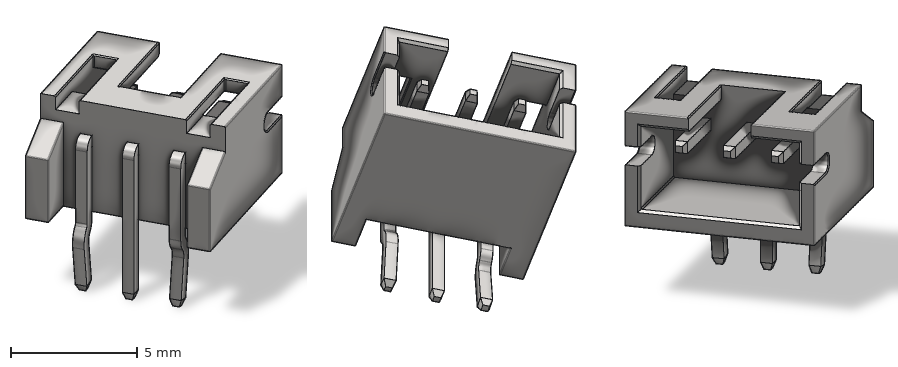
import cadquery as cq
import math


width = 7.9
height = 4.8
depth = 6.0
edge_radius = 0.05

arm_width = 1.0
arm_length = 1.6
arm_top_rear = -1.1
arm_top_tip = -2.02

wall = 0.655
roof = 0.6
floor = 0.74
rear_wall = 1.74
mouth_break = 0.115
cavity_corner_break = 0.06

opening_break = 0.05
roof_notch_width = 2.6
slot_width = 1.0
slot_outer_x = width / 2 - wall
slot_end_y = 3.98
side_notch_height = 0.79
side_notch_length = 1.89
side_notch_z = -1.84

pin_size = 0.5
pin_pitch = 2.0
pin_positions = (-pin_pitch, 0, pin_pitch)
pin_axis_z = -1.7
contact_shoulder_y = 4.73
leg_end_z = -8.18
tip_length = 0.32
tip_end_size = 0.28
tip_taper = math.degrees(math.atan((pin_size - tip_end_size) / 2 / tip_length))

kink_start_z = -5.14
kink_center_y = 0.17
kink_center_z = -5.955
kink_outer_radius = 2 * pin_size
kink_inner_radius = pin_size
kink_slope = math.radians(9)
kink_slant_length = 1.775


def block(x0, x1, y0, y1, z0, z1):
    """Box between two opposite corners."""
    size = (x1 - x0, y1 - y0, z1 - z0)
    return cq.Workplane("XY").box(*size, centered=False).translate((x0, y0, z0))


def make_shell():
    """Outer block with its two rear arms, all edges rounded except those in the rear face."""
    side_outline = [
        (depth, 0),
        (0, 0),
        (0, arm_top_rear),
        (-arm_length, arm_top_tip),
        (-arm_length, -height),
        (depth, -height),
    ]
    shell = cq.Workplane("YZ").polyline(side_outline).close().extrude(width / 2, both=True)
    arm_inner_x = width / 2 - arm_width
    shell = shell.cut(block(-arm_inner_x, arm_inner_x, -arm_length, 0, -height, 0))
    return shell.edges().filter(lambda edge: abs(edge.Center().y) > edge_radius).fillet(edge_radius)


def make_cavity():
    """Mating cavity with broken floor corners that widens slightly at the mouth."""
    half = width / 2 - wall
    cavity = block(-half, half, rear_wall, depth, floor - height, -roof)
    cavity = cavity.edges("|Y and <Z").chamfer(cavity_corner_break)
    rim = (
        cq.Workplane("XZ", origin=(0, depth, (floor - height - roof) / 2))
        .rect(2 * (half + mouth_break), height - roof - floor + 2 * mouth_break)
        .extrude(2 * mouth_break, taper=45)
    )
    return cavity.union(rim)


def make_roof_notch():
    """Notch through the roof, open toward the mouth, with broken side edges on top."""
    half = roof_notch_width / 2
    notch = block(-half, half, rear_wall, depth, -roof, 0)
    lip_outline = [
        (-half - opening_break, 0),
        (half + opening_break, 0),
        (half, -opening_break),
        (-half, -opening_break),
    ]
    lip = cq.Workplane("XZ", origin=(0, depth, 0)).polyline(lip_outline).close().extrude(depth - rear_wall)
    return notch.union(lip)


def make_roof_slot():
    """Slot in the left half of the roof, open toward the rear and flush with the cavity side wall."""
    slot_inner_x = slot_outer_x - slot_width
    slot = block(-slot_outer_x, -slot_inner_x, 0, slot_end_y, -roof, 0)
    slot = slot.edges("|Z and >Y").chamfer(opening_break)

    def flare(z, direction):
        """Broken rim that starts at height z and narrows to the slot outline."""
        return (
            cq.Workplane("XY", origin=(-(slot_outer_x + slot_inner_x) / 2, 0, z))
            .rect(slot_width + 2 * opening_break, 2 * (slot_end_y + opening_break))
            .extrude(direction * opening_break, taper=45)
        )

    housing_region = block(-width, width, 0, depth, -height, 0)
    ceiling_region = block(-slot_outer_x, 0, rear_wall, depth, -height, 0)
    top_rim = flare(0, -1).intersect(housing_region)
    bottom_rim = flare(-roof, 1).intersect(ceiling_region)
    return slot.union(top_rim).union(bottom_rim)


def make_side_notch():
    """Round-ended notch through the left side wall, open toward the mouth, with a broken outer edge."""
    outer_x = -width / 2
    radius = side_notch_height / 2
    center_y = depth - side_notch_length + radius

    def outline(extra):
        reach = radius + extra
        return (
            cq.Workplane("YZ", origin=(outer_x, 0, side_notch_z))
            .moveTo(depth + radius, reach)
            .lineTo(center_y, reach)
            .threePointArc((center_y - reach, 0), (center_y, -reach))
            .lineTo(depth + radius, -reach)
            .close()
        )

    notch = outline(0).extrude(wall + mouth_break)
    return notch.union(outline(opening_break).extrude(opening_break, taper=45))


def make_housing():
    housing = make_shell().cut(make_cavity()).cut(make_roof_notch())
    for opening in (make_roof_slot(), make_side_notch()):
        housing = housing.cut(opening).cut(opening.mirror("YZ"))
    half = pin_size / 2
    for x in pin_positions:
        housing = housing.cut(block(x - half, x + half, 0, rear_wall, pin_axis_z - half, pin_axis_z + half))
    return housing


def make_contact(x):
    """Straight contact from the rear face through the rear wall to its tapered tip."""
    half = pin_size / 2
    bar = block(x - half, x + half, 0, contact_shoulder_y, pin_axis_z - half, pin_axis_z + half)
    tip = (
        cq.Workplane("XZ", origin=(x, contact_shoulder_y, pin_axis_z))
        .rect(pin_size, pin_size)
        .extrude(-tip_length, taper=tip_taper)
    )
    return bar.union(tip)


def make_leg_head(x):
    """Quarter-round top of a leg, standing against the rear face behind the contact."""
    half = pin_size / 2
    corner = block(x - half, x + half, -pin_size, 0, pin_axis_z - half, pin_axis_z + half)
    round_bar = cq.Workplane("YZ", origin=(x, 0, pin_axis_z - half)).circle(pin_size).extrude(half, both=True)
    return corner.intersect(round_bar)


def make_straight_leg(x):
    half = pin_size / 2
    shoulder_z = leg_end_z + tip_length
    shank = block(x - half, x + half, -pin_size, 0, shoulder_z, pin_axis_z - half)
    tip = (
        cq.Workplane("XY", origin=(x, -half, shoulder_z))
        .rect(pin_size, pin_size)
        .extrude(-tip_length, taper=tip_taper)
    )
    return make_leg_head(x).union(shank).union(tip)


def make_bowed_shank(x):
    """Shank that bows toward -Y, slants back and ends in a tapered tip."""
    along = (math.sin(kink_slope), -math.cos(kink_slope))

    def arc_point(radius, angle):
        return (kink_center_y - radius * math.cos(angle), kink_center_z + radius * math.sin(angle))

    def slant_end(radius):
        start_y, start_z = arc_point(radius, -kink_slope)
        return (start_y + kink_slant_length * along[0], start_z + kink_slant_length * along[1])

    rise = kink_start_z - kink_center_z
    inner_offset = kink_inner_radius - kink_center_y
    lead_radius = (kink_center_y**2 + rise**2 - kink_inner_radius**2) / (2 * inner_offset)
    lead_angle = math.atan2(rise, kink_center_y + lead_radius)

    def lead_middle(radius):
        return (
            radius * math.cos(lead_angle / 2) - lead_radius,
            kink_start_z - radius * math.sin(lead_angle / 2),
        )

    bow_middle = (lead_angle - kink_slope) / 2

    shank = (
        cq.Workplane("YZ", origin=(x, 0, 0))
        .moveTo(0, pin_axis_z - pin_size / 2)
        .lineTo(0, kink_start_z)
        .threePointArc(lead_middle(lead_radius), arc_point(kink_inner_radius, lead_angle))
        .threePointArc(arc_point(kink_inner_radius, bow_middle), arc_point(kink_inner_radius, -kink_slope))
        .lineTo(*slant_end(kink_inner_radius))
        .lineTo(*slant_end(kink_outer_radius))
        .lineTo(*arc_point(kink_outer_radius, -kink_slope))
        .threePointArc(arc_point(kink_outer_radius, bow_middle), arc_point(kink_outer_radius, lead_angle))
        .threePointArc(lead_middle(lead_radius - pin_size), (-pin_size, kink_start_z))
        .lineTo(-pin_size, pin_axis_z - pin_size / 2)
        .close()
        .extrude(pin_size / 2, both=True)
    )
    tip_y, tip_z = slant_end((kink_inner_radius + kink_outer_radius) / 2)
    tip_plane = cq.Plane(origin=(x, tip_y, tip_z), xDir=(1, 0, 0), normal=(0, *along))
    tip = cq.Workplane(tip_plane).rect(pin_size, pin_size).extrude(tip_length, taper=tip_taper)
    return shank.union(tip)


def make_kinked_leg(x, bow):
    """Outer leg; bow is -1 for a shank that bows toward -Y and +1 for one that bows toward +Y."""
    shank = make_bowed_shank(x)
    if bow > 0:
        shank = shank.mirror("XZ", (0, -pin_size / 2, 0))
    return make_leg_head(x).union(shank)


housing = make_housing()
contacts = [make_contact(x) for x in pin_positions]
straight_leg = make_straight_leg(0)
kinked_legs = [make_kinked_leg(side * pin_pitch, side) for side in (-1, 1)]

result = cq.Compound.makeCompound(
    [
        housing.val(),
        *[contact.val() for contact in contacts],
        straight_leg.val(),
        *[leg.val() for leg in kinked_legs],
    ]
)